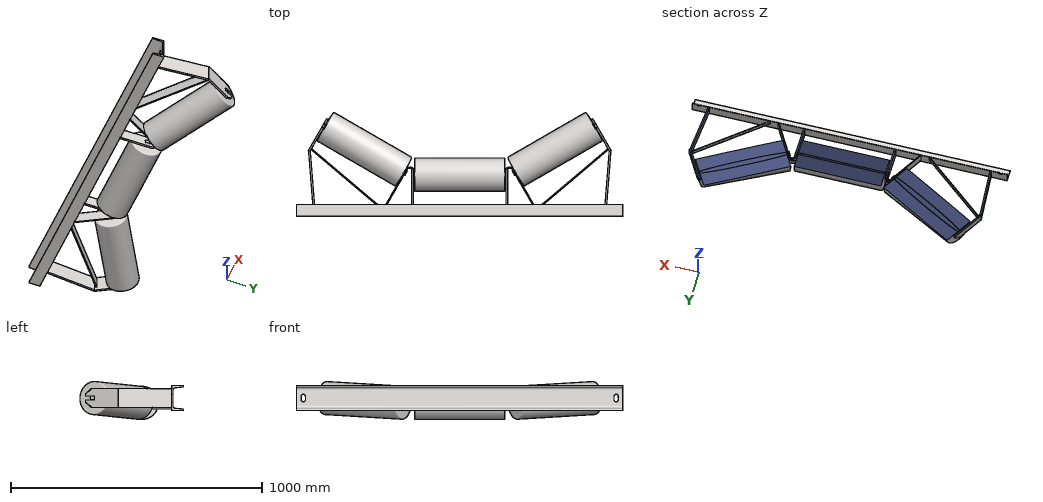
import cadquery as cq
import math


channel_length = 1300.0
channel_height = 100.0
channel_width = 48.0
web_thickness = 5.3
flange_tip_thickness = 6.4
flange_root_thickness = 10.6
flange_root_radius = 8.5
flange_tip_radius = 4.2
mount_slot_width = 16.0
mount_slot_height = 30.0
mount_slot_inset = 27.0

roller_diameter = 133.0
roller_length = 360.0
roller_end_fillet = 4.0
trough_angle = 30.0
forward_tilt = 3.0
center_roller_y = 118.5
center_roller_z = -19.29
side_roller_outer_end = cq.Vector(-535.0, 309.9, 0)
shaft_diameter = 20.0
shaft_flat_width = 14.0
end_gap = 3.5

plate_thickness = 8.0
thin_plate_thickness = 5.0
outer_bracket_height = 75.0
inner_bracket_height = 50.0
brace_height = 50.0
arm_tip_above_axis = 31.0
tip_chamfer_along = 25.0
tip_chamfer_across = 20.0
shaft_slot_clearance = 1.0
arm_foot_y = 212.0
leg_top_x = -598.5
leg_foot_x = -581.5
brace_foot_x = -327.5
brace_top_x = -588.5
brace_top_y = 218.0
inner_top_above_axis = 30.0
inner_corner_radius = 12.0
inner_bend_radius = 4.0

roller_radius = roller_diameter / 2
shaft_radius = shaft_diameter / 2
shaft_overhang = end_gap + plate_thickness
shaft_length = roller_length + 2 * shaft_overhang
trough = math.radians(trough_angle)
tilt = math.radians(forward_tilt)
foot_y = -web_thickness / 2

trough_along = cq.Vector(math.cos(trough), -math.sin(trough), 0)
trough_up = cq.Vector(math.sin(trough), math.cos(trough), 0)
side_axis = trough_along * math.cos(tilt) - cq.Vector(0, 0, math.sin(tilt))
side_roller_inner_end = side_roller_outer_end + side_axis * roller_length

center_plane = cq.Plane(
    origin=(-roller_length / 2, center_roller_y, center_roller_z), xDir=(0, 1, 0), normal=(1, 0, 0)
)
side_plane = cq.Plane(origin=side_roller_outer_end, xDir=trough_up, normal=side_axis)


def mirrored(body):
    return body.mirror("YZ")


def flatted_disc(plane, radius, width, length):
    """A round bar with two parallel flats, from the plane along its normal."""
    disc = cq.Workplane(plane).circle(radius).extrude(length)
    band = cq.Workplane(plane).rect(2 * radius, width).extrude(length)
    return disc.intersect(band)


def make_roller(plane):
    bore = cq.Workplane(plane).circle(shaft_radius).extrude(roller_length)
    shell = cq.Workplane(plane).circle(roller_radius).extrude(roller_length)
    return shell.edges().fillet(roller_end_fillet).cut(bore)


def make_shaft(plane):
    core = cq.Workplane(plane).circle(shaft_radius).extrude(roller_length)
    end_plane = cq.Workplane(plane).workplane(offset=-shaft_overhang).plane
    return core.union(flatted_disc(end_plane, shaft_radius, shaft_flat_width, shaft_length))


def make_channel():
    half_height = channel_height / 2
    root_z = half_height - flange_root_thickness
    tip_z = half_height - flange_tip_thickness
    channel = (
        cq.Workplane("YZ")
        .moveTo(0, -half_height)
        .lineTo(0, half_height)
        .lineTo(-channel_width, half_height)
        .lineTo(-channel_width, tip_z)
        .lineTo(-web_thickness, root_z)
        .lineTo(-web_thickness, -root_z)
        .lineTo(-channel_width, -tip_z)
        .lineTo(-channel_width, -half_height)
        .close()
        .extrude(channel_length / 2, both=True)
    )
    for side in (-1, 1):
        root_edge = cq.selectors.NearestToPointSelector((0, -web_thickness, side * root_z))
        channel = channel.edges("|X").edges(root_edge).fillet(flange_root_radius)
        tip_edge = cq.selectors.NearestToPointSelector((0, -channel_width, side * tip_z))
        channel = channel.edges("|X").edges(tip_edge).fillet(flange_tip_radius)
    slot_x = channel_length / 2 - mount_slot_inset
    slots = (
        cq.Workplane("XZ")
        .pushPoints([(-slot_x, 0), (slot_x, 0)])
        .slot2D(mount_slot_height, mount_slot_width, 90)
        .extrude(web_thickness)
    )
    return channel.cut(slots)


def make_plate(start, end, thickness, height):
    """An upright flat plate whose centre line runs from start to end, centred on Z = 0."""
    run = cq.Vector(*end) - cq.Vector(*start)
    plane = cq.Plane(origin=start, xDir=run, normal=(0, 0, 1))
    return (
        cq.Workplane(plane)
        .center(run.Length / 2, 0)
        .rect(run.Length, thickness)
        .extrude(height / 2, both=True)
    )


def shaft_slot(axis_point, direction, up, depth):
    """An open slot with a round bottom around a shaft axis, cut both ways from axis_point."""
    width = shaft_flat_width + shaft_slot_clearance
    start = axis_point - direction * depth
    plane = cq.Plane(origin=start, xDir=up, normal=direction)
    bottom = flatted_disc(plane, shaft_radius + shaft_slot_clearance / 2, width, 2 * depth)
    mouth = (
        cq.Workplane(plane)
        .center(arm_tip_above_axis, 0)
        .rect(2 * arm_tip_above_axis, width)
        .extrude(2 * depth)
    )
    return bottom.union(mouth)


def make_outer_bracket():
    axis_point = side_roller_outer_end - side_axis * (end_gap + plate_thickness / 2)
    tip = axis_point + trough_up * arm_tip_above_axis
    foot = tip - trough_up * ((tip.y - arm_foot_y) / trough_up.y)
    arm_foot = (foot.x, foot.y)
    arm = make_plate(arm_foot, (tip.x, tip.y), plate_thickness, outer_bracket_height)

    tip_plane = cq.Plane(origin=(tip.x, tip.y, 0), xDir=trough_up, normal=trough_along)
    for side in (-1, 1):
        edge_z = side * outer_bracket_height / 2
        corner = (
            cq.Workplane(tip_plane)
            .moveTo(0, edge_z)
            .lineTo(-tip_chamfer_along, edge_z)
            .lineTo(0, edge_z - side * tip_chamfer_across)
            .close()
            .extrude(plate_thickness, both=True)
        )
        arm = arm.cut(corner)
    arm = arm.cut(shaft_slot(axis_point, trough_along, trough_up, plate_thickness))

    leg_foot = (leg_foot_x, foot_y)
    leg = make_plate(leg_foot, (leg_top_x, arm_foot_y), plate_thickness, outer_bracket_height)
    brace_foot = (brace_foot_x, foot_y)
    brace_top = (brace_top_x, brace_top_y)
    brace = make_plate(brace_foot, brace_top, thin_plate_thickness, brace_height)
    return arm.union(leg).union(brace)


def make_inner_bracket():
    top_y = center_roller_y + inner_top_above_axis
    under_y = top_y - thin_plate_thickness
    leg_right_x = -roller_length / 2 - end_gap
    leg_left_x = leg_right_x - plate_thickness
    face_point = side_roller_inner_end + side_axis * end_gap
    slant_width = thin_plate_thickness / math.cos(trough)

    def slant_x(y):
        """X of the sloping face beside the side roller."""
        return face_point.x + (y - face_point.y) * math.tan(trough)

    bracket = (
        cq.Workplane("XY")
        .workplane(offset=center_roller_z)
        .moveTo(leg_right_x, foot_y)
        .lineTo(leg_right_x, top_y - inner_corner_radius)
        .radiusArc((leg_right_x - inner_corner_radius, top_y), -inner_corner_radius)
        .lineTo(slant_x(top_y), top_y)
        .lineTo(slant_x(foot_y), foot_y)
        .lineTo(slant_x(foot_y) + slant_width, foot_y)
        .lineTo(slant_x(under_y) + slant_width, under_y)
        .lineTo(leg_left_x - inner_bend_radius, under_y)
        .radiusArc((leg_left_x, under_y - inner_bend_radius), inner_bend_radius)
        .lineTo(leg_left_x, foot_y)
        .close()
        .extrude(inner_bracket_height / 2, both=True)
    )
    leg_axis_point = cq.Vector(leg_right_x - plate_thickness / 2, center_roller_y, center_roller_z)
    leg_slot = shaft_slot(leg_axis_point, cq.Vector(1, 0, 0), cq.Vector(0, 1, 0), plate_thickness)
    slant_axis_point = face_point + side_axis * (thin_plate_thickness / 2)
    slant_slot = shaft_slot(slant_axis_point, trough_along, trough_up, plate_thickness)
    return bracket.cut(leg_slot).cut(slant_slot)


def make_frame():
    frame = make_channel()
    for bracket in (make_outer_bracket(), make_inner_bracket()):
        frame = frame.union(bracket).union(mirrored(bracket))
    return frame


frame = make_frame()
center_roller = make_roller(center_plane)
left_roller = make_roller(side_plane)
rollers = [left_roller, center_roller, mirrored(left_roller)]
left_shaft = make_shaft(side_plane)
shafts = [left_shaft, make_shaft(center_plane), mirrored(left_shaft)]

bodies = [frame, *rollers, *shafts]
result = cq.Compound.makeCompound([body.val() for body in bodies])